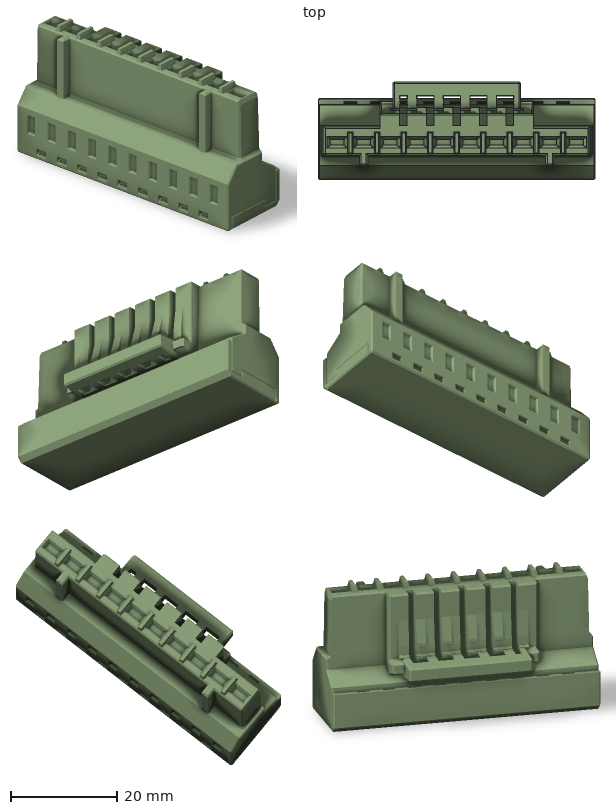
import cadquery as cq


length = 52.0
half_length = length / 2
pitch = 5.0
pole_count = 10
pole_places = [(i - (pole_count - 1) / 2) * pitch for i in range(pole_count)]
gap_places = [(i - (pole_count - 2) / 2) * pitch for i in range(pole_count - 1)]
edge_break = 0.3
end_break = 0.25
reach = 104.0

shoulder_bottom = 9.95
shoulder_top = 13.15
back_slope_top = 10.95
back_slope_bottom = 8.6
tower_top = 25.45
fin_top = 26.55
cover_top = 7.6

shoulder_back = 2.6
tower_front = 4.5
tower_back = 9.85
tower_draft = 0.25
base_back = 13.95
cover_back = 15.2
block_back = 12.4
lever_back = 18.3

cover_front = 1.3
cover_step_y = 10.7
cover_step_z = 2.6
cover_floor = 1.2
cover_corner = 1.0
cover_gap = 0.1

tower_half_foot = 25.15
tower_half_top = 24.65
tower_end_slant = 0.95
tower_corner = 0.35
block_half = 14.45

rib_width = 1.55
rib_places = (-3.5 * pitch, 3.5 * pitch)

lever_half = 12.0
lever_top = 12.55
lever_bottom = 9.9
hinge_back = 14.65
hinge_top = 12.55
hinge_bottom = 10.6
hinge_corner = 0.45
plate_half = 12.6
plate_back = 12.95
plate_root = 0.35
catch_bottom = 15.2
catch_top = 20.3
catch_back = 13.55
window_back = 15.7
window_front = 13.5
window_width = 3.15
slot_width = 1.4
slot_front = 10.1
slot_right_sides = [0.7 + i * pitch for i in range(-2, 3)]
first_window_left = -10.65


def side_prism(points, half_width):
    """Extrude a (Y, Z) outline symmetrically along X."""
    return cq.Workplane("YZ").polyline(points).close().extrude(half_width, both=True)


def block(x_range, y_range, z_range):
    """Box given by its limits on each axis."""
    sizes = [high - low for low, high in (x_range, y_range, z_range)]
    corner = (x_range[0], y_range[0], z_range[0])
    return cq.Workplane("XY").box(*sizes, centered=False).translate(corner)


def row(shape, places):
    """Copies of a shape moved to each X place."""
    copies = cq.Workplane("XY")
    for x in places:
        copies = copies.union(shape.translate((x, 0, 0)))
    return copies


def make_base():
    """Wire-entry housing, its underside stepped to take the cover."""
    outline = [
        (edge_break, 0),
        (0, edge_break),
        (0, shoulder_bottom),
        (shoulder_back, shoulder_top),
        (tower_back + tower_draft, shoulder_top),
        (tower_back + tower_draft, back_slope_top),
        (base_back, back_slope_bottom),
        (base_back, cover_floor),
        (cover_step_y, cover_floor),
        (cover_step_y, cover_step_z),
        (cover_front, cover_step_z),
        (cover_front, 0),
    ]
    return side_prism(outline, half_length).faces("<X or >X").chamfer(end_break)


def make_cover():
    """L-shaped bottom cover with latch notches along its upper edge."""
    outer_outline = [
        (0, 0),
        (cover_back - cover_corner, 0),
        (cover_back, cover_corner),
        (cover_back, reach),
        (0, reach),
    ]
    envelope = side_prism(outer_outline, half_length).faces("<X or >X").chamfer(end_break)
    outline = [
        (cover_front, 0),
        (cover_back, 0),
        (cover_back, cover_top),
        (base_back + cover_gap, cover_top),
        (base_back + cover_gap, cover_floor),
        (cover_step_y, cover_floor),
        (cover_step_y, cover_step_z),
        (cover_front, cover_step_z),
    ]
    cover = side_prism(outline, half_length).intersect(envelope)

    notch_width = 2.45
    notch_back = 14.65
    notch_depth = 1.55
    notch_outline = [
        (base_back, cover_top),
        (notch_back, cover_top),
        (base_back, cover_top - notch_depth),
    ]
    notch = side_prism(notch_outline, notch_width / 2)
    return cover.cut(row(notch, gap_places))


def tower_outline(half, margin, back):
    """Plan outline of the tower, its two front corners cut off; margin widens it all round."""
    front = tower_front - margin
    wide = half + margin
    return [
        (-wide, back + margin),
        (-wide, front + tower_corner),
        (-wide + tower_corner, front),
        (wide - tower_corner, front),
        (wide, front + tower_corner),
        (wide, back + margin),
    ]


def loft_outlines(lower, lower_z, upper, upper_z):
    """Straight-sided solid between two plan outlines."""
    return (
        cq.Workplane("XY").workplane(offset=lower_z).polyline(lower).close()
        .workplane(offset=upper_z - lower_z).polyline(upper).close().loft(ruled=True)
    )


def make_tower():
    """Tall plug section: a drafted bar with flared foot, cut corners and bevelled top."""
    half_below_bevel = tower_half_top + edge_break
    bevel_start = tower_top - tower_end_slant
    foot_outline = tower_outline(tower_half_foot, 0, tower_back + tower_draft)
    top_outline = tower_outline(half_below_bevel, 0, tower_back)
    flare_outline = tower_outline(tower_half_foot, edge_break, tower_back + tower_draft - edge_break)
    walls = loft_outlines(foot_outline, shoulder_top, top_outline, tower_top)
    flare = loft_outlines(flare_outline, shoulder_top, foot_outline, shoulder_top + edge_break)

    side_form = side_prism(
        [
            (0, 0),
            (0, shoulder_top + edge_break),
            (tower_front, tower_top - edge_break),
            (tower_front + edge_break, tower_top),
            (tower_back - edge_break, tower_top),
            (tower_back, tower_top - edge_break),
            (reach, shoulder_top + edge_break),
            (reach, 0),
        ],
        half_length,
    )
    end_outline = [
        (half_length, 0),
        (half_length, shoulder_top + edge_break),
        (half_below_bevel, bevel_start),
        (tower_half_top, tower_top),
    ]
    mirrored_outline = [(-x, z) for x, z in reversed(end_outline)]
    end_form = cq.Workplane("XZ").polyline(end_outline + mirrored_outline).close().extrude(reach, both=True)
    return walls.intersect(side_form).intersect(end_form).union(flare)


def make_ribs():
    """Two upright guide ribs on the front of the tower."""
    y_range = (shoulder_back, tower_front + 2 * edge_break)
    z_range = (shoulder_top - edge_break, tower_top)
    rib = (
        block((-rib_width / 2, rib_width / 2), y_range, z_range)
        .faces(">Z").edges("<Y or <X or >X").chamfer(edge_break)
    )
    return row(rib, rib_places)


def make_fins():
    """Tapered fins between the contact openings on top of the tower."""
    foot_width, crest_width = 1.05, 0.6
    foot_depth, crest_depth = 4.15, 3.75
    centre_y = 6.85
    fin = (
        cq.Workplane("XY").workplane(offset=tower_top).rect(foot_width, foot_depth)
        .workplane(offset=fin_top - tower_top).rect(crest_width, crest_depth).loft(ruled=True)
    )
    return row(fin.translate((0, centre_y, 0)), gap_places)


def make_back_block():
    """Thick block that carries the latch behind the tower."""
    outline = [
        (tower_back - 2 * edge_break, back_slope_bottom),
        (block_back, back_slope_bottom + edge_break),
        (block_back, tower_top - edge_break),
        (block_back - edge_break, tower_top),
        (tower_back - 2 * edge_break, tower_top),
    ]
    return side_prism(outline, block_half).edges("|Z and >Y").chamfer(edge_break)


def make_hinge():
    """Bevelled root of the lever at the foot of the back block."""
    outline = [
        (tower_back, back_slope_bottom),
        (block_back, lever_bottom),
        (hinge_back - hinge_corner, hinge_bottom),
        (hinge_back, hinge_bottom),
        (hinge_back, hinge_top - edge_break),
        (hinge_back - hinge_corner, hinge_top),
        (block_back, hinge_top + edge_break),
        (tower_back, hinge_top + edge_break),
    ]
    hinge = side_prism(outline, block_half).edges("|Z and >Y").chamfer(hinge_corner)
    rim_outline = [
        (-block_half, 0),
        (-block_half, hinge_top - edge_break),
        (hinge_corner - block_half, hinge_top + edge_break),
        (block_half - hinge_corner, hinge_top + edge_break),
        (block_half, hinge_top - edge_break),
        (block_half, 0),
    ]
    rim_form = cq.Workplane("XZ").polyline(rim_outline).close().extrude(reach, both=True)
    return hinge.intersect(rim_form)


def make_lever():
    """Release lever standing out behind the part."""
    underside_bend = 14.8
    outline = [
        (block_back, lever_bottom - edge_break),
        (underside_bend, lever_bottom - edge_break),
        (lever_back, lever_bottom),
        (lever_back, lever_top),
        (block_back, shoulder_top),
    ]
    return side_prism(outline, lever_half).faces("<X or >X or >Y").edges().chamfer(edge_break)


def make_latch_plate():
    """Plate rising from the lever and tapering into the back block."""
    outline = [
        (tower_back, lever_bottom),
        (block_back, lever_bottom),
        (plate_back + plate_root, shoulder_top),
        (plate_back, shoulder_top + plate_root),
        (plate_back, catch_bottom),
        (block_back, catch_top),
        (tower_back, catch_top),
    ]
    return side_prism(outline, plate_half)


def make_catches():
    """Wedge-shaped catches, each beside a slot; the clipped first window has none."""
    outline = [
        (tower_back, catch_bottom),
        (catch_back, catch_bottom),
        (catch_back, catch_bottom + 2 * edge_break),
        (block_back, catch_top),
        (tower_back, catch_top),
    ]
    catch_width = window_width - slot_width
    catch = side_prism(outline, catch_width / 2)
    return row(catch, [right - slot_width - catch_width / 2 for right in slot_right_sides[1:]])


def make_latch():
    """Back block, hinge, lever and catches, opened by the windows and slots."""
    latch = make_back_block().union(make_hinge()).union(make_lever())
    latch = latch.union(make_latch_plate()).union(make_catches())

    slot_floor = lever_bottom
    slot_floor_high = 11.35
    slot_outline = [
        (slot_front, slot_floor_high),
        (block_back, slot_floor),
        (window_front, slot_floor),
        (window_front, reach),
        (slot_front, reach),
    ]
    slot = side_prism(slot_outline, slot_width / 2)
    for right in slot_right_sides:
        left = max(right - window_width, first_window_left)
        latch = latch.cut(block((left, right), (window_front, window_back), (0, catch_bottom)))
        latch = latch.cut(slot.translate((right - slot_width / 2, 0, 0)))
    return latch


def make_contact_openings():
    """Funnel-shaped recesses in the top of the tower, one per pole."""
    mouth_width, mouth_depth = 3.85, 2.25
    floor_width, floor_depth = 2.6, 1.1
    recess_depth = 1.05
    centre_y = 6.95
    funnel = (
        cq.Workplane("XY").workplane(offset=tower_top - recess_depth).rect(floor_width, floor_depth)
        .workplane(offset=recess_depth).rect(mouth_width, mouth_depth).loft(ruled=True)
    )
    return row(funnel.translate((0, centre_y, 0)), pole_places)


def make_test_openings():
    """Shallow tapered windows in the front face, one per pole."""
    mouth_width, mouth_bottom, mouth_top = 2.05, 4.75, 8.7
    side_taper = 0.25
    recess_depth = 0.5
    mouth_height = mouth_top - mouth_bottom
    recess = (
        cq.Workplane("XZ").rect(mouth_width, mouth_height)
        .workplane(offset=-recess_depth)
        .rect(mouth_width - 2 * side_taper, mouth_height - 2 * side_taper).loft(ruled=True)
    )
    return row(recess.translate((0, 0, (mouth_bottom + mouth_top) / 2)), pole_places)


def make_cover_windows():
    """Low windows in the front face, each with a notched ramp inside."""
    window_wide, window_low, window_high = 2.35, 0.85, 2.3
    ramp_high = 1.6
    recess_depth = 0.8
    notch_wide = 1.65
    notch_rise, notch_depth = 0.15, 0.6
    window_outline = [(0, window_low), (recess_depth, ramp_high), (recess_depth, window_high), (0, window_high)]
    window = side_prism(window_outline, window_wide / 2)
    notch = block((-notch_wide / 2, notch_wide / 2), (0, notch_depth), (window_low + notch_rise, ramp_high))
    return row(window.union(notch), gap_places)


result = make_base().union(make_cover()).union(make_tower()).union(make_ribs())
result = result.union(make_latch()).union(make_fins())
result = result.cut(make_contact_openings()).cut(make_test_openings()).cut(make_cover_windows())